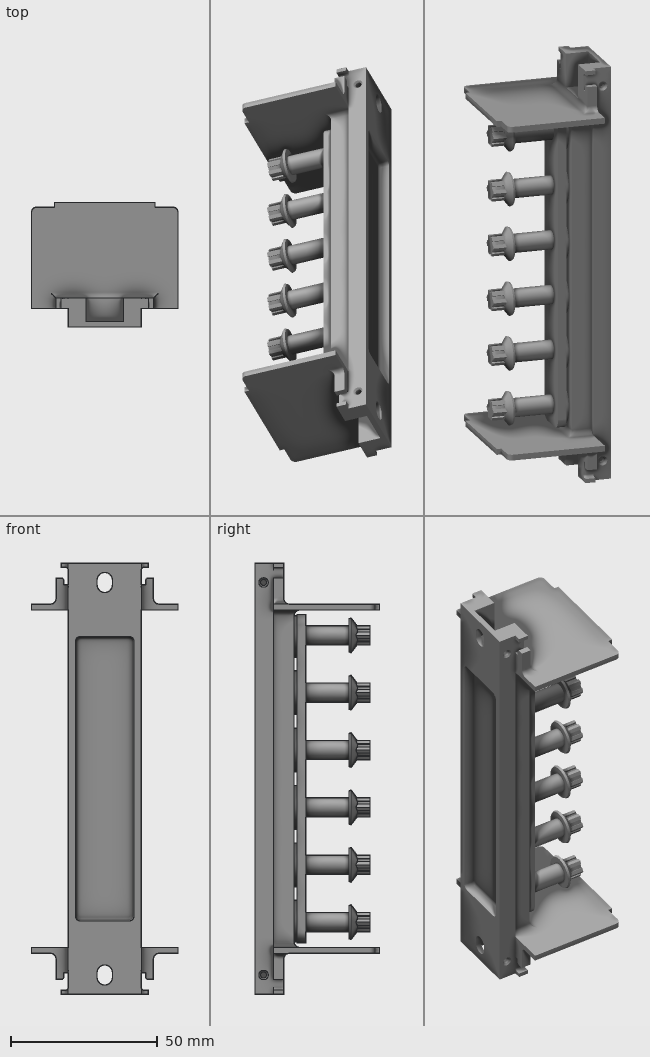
import cadquery as cq
import math


PANEL_LENGTH = 147.2
PANEL_WIDTH = 25.0
PANEL_DEPTH = 6.3
PANEL_TOP = PANEL_LENGTH / 2

POCKET_WIDTH = 20.0
POCKET_LENGTH = 97.2
POCKET_DEPTH = 3.7
POCKET_DRAFT = 7.0
POCKET_CORNER_RADIUS = 1.8
POCKET_FLOOR_RADIUS = 0.9

PLATE_WIDTH = 50.0
PLATE_THICKNESS = 2.0
PLATE_TOP = 59.6
PLATE_BACK = 42.5
PLATE_SHOULDER = 40.9
PLATE_CORNER_RADIUS = 1.8
TONGUE_WIDTH = 34.3
PLATE_BOTTOM = PLATE_TOP - PLATE_THICKNESS
ROOT_RADIUS = 1.9

END_BLOCK_BACK = 9.9
EAR_WIDTH = 33.3
EAR_TOP = PANEL_TOP - 5.2
EAR_STEP_WIDTH = 27.8
EAR_STEP_HEIGHT = 2.2
EAR_CHAMFER = 0.6
LIP_WIDTH = 29.7
LIP_THICKNESS = 1.5
LIP_RADIUS = 0.9
SLOT_WIDTH = 13.0
SLOT_FRONT = 1.9
SLOT_FLOOR = PLATE_TOP + ROOT_RADIUS

HOLE_HEIGHT = PANEL_TOP - 6.6
MOUNT_HOLE_WIDTH = 5.2
MOUNT_HOLE_LENGTH = 6.8
SIDE_HOLE_Y = 3.0
SIDE_HOLE_DIAMETER = 2.0
SIDE_HOLE_SINK_DIAMETER = 3.2
SIDE_HOLE_SINK_ANGLE = 90.0
SIDE_HOLE_DEPTH = 3.0

CORE_WIDTH = 21.0
CORE_BACK = 13.4

STUD_COUNT = 6
STUD_PITCH = 19.6
BAR_FRONT = 14.3
BAR_BACK = 17.4
BAR_WIDTH = 15.0
BAR_LENGTH = 112.2
BAR_CORNER_RADIUS = 3.5
SPACER_DIAMETER = BAR_WIDTH
SPACER_LIMIT = PLATE_BOTTOM - ROOT_RADIUS

SHANK_DIAMETER = 6.6
FLANGE_FRONT = 32.1
FLANGE_RIM = 32.8
FLANGE_DIAMETER = 11.9
FLANGE_FACE_DIAMETER = 11.3
CONE_BACK = 35.0
CONE_BACK_DIAMETER = 6.2
HEAD_BACK = 39.3
HEAD_FLATS = 6.6
HEAD_GROOVE_WIDTH = 1.3
HEAD_GROOVE_DEPTH = 0.6
HEX_SIDES = 6


def block(width, y_front, y_back, z_bottom, z_top):
    """A box centred on x = 0."""
    return (
        cq.Workplane("XY", origin=(0, y_front, z_bottom))
        .box(width, y_back - y_front, z_top - z_bottom, centered=(True, False, False))
    )


def along_y(y):
    """A workplane at depth y whose extrusions grow towards +Y; local x is X and local y is -Z."""
    return cq.Workplane(cq.Plane(origin=(0, y, 0), xDir=(1, 0, 0), normal=(0, 1, 0)))


def cross_plate():
    """The upper plate with its rounded shoulders and rear tongue."""
    plate = block(PLATE_WIDTH, PANEL_DEPTH, PLATE_SHOULDER, PLATE_BOTTOM, PLATE_TOP)
    plate = plate.edges("|Z and >Y").fillet(PLATE_CORNER_RADIUS)
    tongue = block(TONGUE_WIDTH, PANEL_DEPTH, PLATE_BACK, PLATE_BOTTOM, PLATE_TOP)
    return plate.union(tongue)


def end_block():
    """The block above the plate, with a stepped ear and an overhanging lip on each side."""
    middle_x = PANEL_WIDTH / 2
    step_x = EAR_STEP_WIDTH / 2
    ear_x = EAR_WIDTH / 2
    lip_x = LIP_WIDTH / 2
    step_z = EAR_TOP - EAR_STEP_HEIGHT
    lip_z = PANEL_TOP - LIP_THICKNESS
    half = (
        cq.Workplane("XZ", origin=(0, PANEL_DEPTH, 0))
        .moveTo(0, PLATE_TOP)
        .lineTo(ear_x, PLATE_TOP)
        .lineTo(ear_x, EAR_TOP)
        .lineTo(step_x + EAR_CHAMFER, EAR_TOP)
        .lineTo(step_x, EAR_TOP - EAR_CHAMFER)
        .lineTo(step_x, step_z)
        .lineTo(middle_x, step_z)
        .lineTo(middle_x, lip_z - LIP_RADIUS)
        .tangentArcPoint((middle_x + LIP_RADIUS, lip_z), relative=False)
        .lineTo(lip_x, lip_z)
        .lineTo(lip_x, PANEL_TOP)
        .lineTo(0, PANEL_TOP)
        .close()
        .extrude(-(END_BLOCK_BACK - PANEL_DEPTH))
    )
    return half.union(half.mirror("YZ"))


def fillet_root(solid, z, y_back):
    """Round the corner at height z where a block reaching back to y_back meets the plate."""
    margin = 0.1
    half_width = PLATE_WIDTH / 2 - margin
    root = cq.selectors.BoxSelector(
        (-half_width, PANEL_DEPTH + margin, z - margin),
        (half_width, y_back + margin, z + margin),
    )
    return solid.edges(root).fillet(ROOT_RADIUS)


def end_assembly():
    """The upper plate joined to the end block above it and to half of the core below it."""
    body = fillet_root(cross_plate().union(end_block()), PLATE_TOP, END_BLOCK_BACK)
    half_core = block(CORE_WIDTH, PANEL_DEPTH, CORE_BACK, 0, PLATE_BOTTOM)
    return fillet_root(body.union(half_core), PLATE_BOTTOM, CORE_BACK)


def side_hole(side):
    """A blind countersunk hole in one side of the panel."""
    plane = cq.Plane(
        origin=(side * PANEL_WIDTH / 2, SIDE_HOLE_Y, HOLE_HEIGHT), xDir=(0, 1, 0), normal=(-side, 0, 0)
    )
    drill = cq.Workplane(plane).circle(SIDE_HOLE_DIAMETER / 2).extrude(SIDE_HOLE_DEPTH)
    sink_depth = SIDE_HOLE_SINK_DIAMETER / 2 / math.tan(math.radians(SIDE_HOLE_SINK_ANGLE / 2))
    sink = cq.Solid.makeCone(SIDE_HOLE_SINK_DIAMETER / 2, 0, sink_depth, plane.origin, plane.zDir)
    return drill.union(cq.Workplane(sink))


def end_cuts():
    """Everything removed from the upper end: slot, mounting hole and side holes."""
    slot = block(SLOT_WIDTH, SLOT_FRONT, END_BLOCK_BACK, SLOT_FLOOR, PANEL_TOP)
    mount_hole = (
        along_y(0)
        .center(0, -HOLE_HEIGHT)
        .slot2D(MOUNT_HOLE_LENGTH, MOUNT_HOLE_WIDTH, 90)
        .extrude(END_BLOCK_BACK)
    )
    return slot.union(mount_hole).union(side_hole(1)).union(side_hole(-1))


def window_pocket():
    """The drafted window recess with rounded corners and floor edge."""
    return (
        along_y(0)
        .sketch()
        .rect(POCKET_WIDTH, POCKET_LENGTH)
        .vertices()
        .fillet(POCKET_CORNER_RADIUS)
        .finalize()
        .extrude(POCKET_DEPTH, taper=POCKET_DRAFT)
        .faces(">Y")
        .edges()
        .fillet(POCKET_FLOOR_RADIUS)
    )


def make_panel():
    """The panel body: face panel, core, and the same plate, end block and holes at each end."""
    end = end_assembly()
    cuts = end_cuts()
    panel = block(PANEL_WIDTH, 0, PANEL_DEPTH, -PANEL_TOP, PANEL_TOP)
    panel = panel.union(end).union(end.mirror("XY"))
    return panel.cut(cuts).cut(cuts.mirror("XY")).cut(window_pocket())


def make_stud():
    """One stud on the Y axis, from the back of the bar to the end of its grooved hexagon head."""
    shank = along_y(BAR_BACK).circle(SHANK_DIAMETER / 2).extrude(FLANGE_FRONT - BAR_BACK)
    flange = (
        cq.Workplane("XY")
        .moveTo(0, FLANGE_FRONT)
        .lineTo(FLANGE_FACE_DIAMETER / 2, FLANGE_FRONT)
        .lineTo(FLANGE_DIAMETER / 2, FLANGE_RIM)
        .lineTo(CONE_BACK_DIAMETER / 2, CONE_BACK)
        .lineTo(0, CONE_BACK)
        .close()
        .revolve(360, (0, 0, 0), (0, 1, 0))
    )
    corner_diameter = HEAD_FLATS / math.cos(math.pi / HEX_SIDES)
    head_length = HEAD_BACK - FLANGE_RIM
    head = along_y(FLANGE_RIM).polygon(HEX_SIDES, corner_diameter).extrude(head_length)
    groove = block(
        HEAD_GROOVE_WIDTH, FLANGE_RIM, HEAD_BACK, HEAD_FLATS / 2 - HEAD_GROOVE_DEPTH, HEAD_FLATS / 2
    )
    for i in range(HEX_SIDES):
        head = head.cut(groove.rotate((0, 0, 0), (0, 1, 0), i * 360 / HEX_SIDES))
    return shank.union(flange).union(head)


def make_stud_bar():
    """The bar with a round spacer in front and a stud behind at every station."""
    bar = block(BAR_WIDTH, BAR_FRONT, BAR_BACK, -BAR_LENGTH / 2, BAR_LENGTH / 2)
    bar = bar.edges("|Y").fillet(BAR_CORNER_RADIUS)
    spacer = along_y(CORE_BACK).circle(SPACER_DIAMETER / 2).extrude(BAR_FRONT - CORE_BACK)
    stud = make_stud()
    core_flat = block(BAR_WIDTH, CORE_BACK, BAR_FRONT, -SPACER_LIMIT, SPACER_LIMIT)
    for i in range(STUD_COUNT):
        station = (0, 0, (i - (STUD_COUNT - 1) / 2) * STUD_PITCH)
        bar = bar.union(spacer.translate(station).intersect(core_flat))
        bar = bar.union(stud.translate(station))
    return bar


panel = make_panel()
stud_bar = make_stud_bar()
result = cq.Compound.makeCompound([panel.solids().val(), stud_bar.solids().val()])